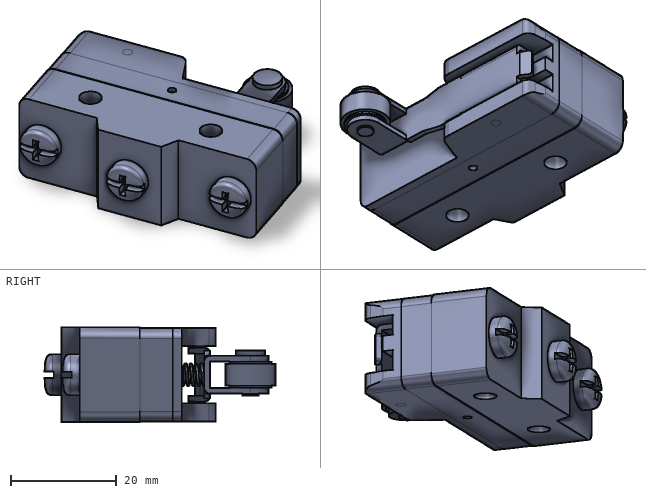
import cadquery as cq
import math


length = 50.0
cover_length = 49.9
base_thickness = 18.0
cover_thickness = 17.75
corner_radius = 2.0
base_top = 11.4
body_top = 17.65
deck_top = 19.4
cheek_top = 25.85

mount_hole_radius = 2.15
mount_hole_x = 12.7
mount_hole_y = 5.6
small_hole_radius = 0.8
small_hole_y = 14.85

slot_half_width = 5.4
slope_start_y = 21.5
slope_end_y = 24.15
slope_inset = 0.3
cheek_arc_width = 1.7
cheek_slant_top_x = -2.3
cheek_slant_radius = 2.0
stop_half_width = 1.5
stop_length = 5.0

block_height = 3.45
block_root_half_width = 8.6
block_tip_half_width = 6.65

screw_x = 20.0
screw_radius = 3.9
screw_rim_height = 1.75
screw_height = 3.2
screw_shoulder_radius = 2.7
screw_shoulder_height = 3.0
screw_slot_width = 1.2
screw_slot_floor = 1.45
screw_cross_floor = 1.0
screw_cross_length = 4.4

plate = 1.1
lever_top = 24.75
lever_bottom = lever_top - plate
lever_half_width = 5.1
strip_half_width = 4.5
lever_start_x = -20.5
flange_end_x = -6.0
taper_start_x = -0.45
taper_end_x = 3.75
flange_height = 4.1
tab_half_width = 2.7
tab_root_x = -21.3
tab_length = 2.4
tab_angle = 30.0
tab_corner_radius = 0.5
pin_x = -13.3
pin_y = 22.8
pin_radius = 0.95

roller_x = 11.55
roller_y = 32.4
roller_radius = 4.75
roller_half_width = 2.05
washer_radius = 4.0
fork_half_width = 3.6
fork_radius = 3.45
rivet_head_radius = 2.8
rivet_head_end = 4.6
rivet_tail_radius = 1.55
rivet_tail_end = -3.95

spring_outer_radius = 2.15
wire_radius = 0.25
spring_pitch = 1.0
spring_seat_depth = 0.3


def rounded_block(block_length, thickness, y_start, y_end):
    """Block along Y with its four long edges rounded."""
    height = y_end - y_start
    block = cq.Workplane("XY").box(block_length, height, thickness)
    block = block.edges("|Y").fillet(corner_radius)
    return block.translate((0, y_start + height / 2, 0))


def cylinder(x, y, radius, z_start, z_end):
    """Cylinder along Z."""
    return cq.Workplane("XY", origin=(x, y, z_start)).circle(radius).extrude(z_end - z_start)


def terminal_block():
    return (
        cq.Workplane("XY")
        .moveTo(-block_root_half_width, 0)
        .lineTo(-block_tip_half_width, -block_height)
        .lineTo(block_tip_half_width, -block_height)
        .lineTo(block_root_half_width, 0)
        .close()
        .extrude(base_thickness / 2, both=True)
    )


def cover():
    """Deck with the two lever cheeks, trimmed to the side outline."""
    right = cover_length / 2
    left = -right
    top_left = left + slope_inset
    arc_end_x = top_left + cheek_arc_width
    outline = (
        cq.Workplane("XY")
        .moveTo(left, body_top)
        .lineTo(left, slope_start_y)
        .lineTo(top_left, slope_end_y)
        .tangentArcPoint((arc_end_x, cheek_top), relative=False)
        .lineTo(cheek_slant_top_x, cheek_top)
        .lineTo(0, deck_top)
        .lineTo(right, deck_top)
        .lineTo(right, body_top)
        .close()
        .extrude(cover_thickness / 2, both=True)
    )
    slant_corner = cq.selectors.NearestToPointSelector((cheek_slant_top_x, cheek_top, 0))
    outline = outline.edges(slant_corner).fillet(cheek_slant_radius)
    shell = rounded_block(cover_length, cover_thickness, body_top, cheek_top).intersect(outline)

    slot = cq.Workplane("XY").box(length, cheek_top - deck_top, 2 * slot_half_width)
    shell = shell.cut(slot.translate((0, (cheek_top + deck_top) / 2, 0)))

    stop = cq.Workplane("XY").box(
        stop_length, slope_start_y - body_top, 2 * stop_half_width
    )
    stop = stop.translate((left + stop_length / 2, (slope_start_y + body_top) / 2, 0))
    return shell.union(stop)


def screw_head(x, seat_y):
    """Domed head pointing to -Y with a full slot and a short cross slot."""
    head = (
        cq.Workplane("XY")
        .lineTo(screw_radius, 0)
        .lineTo(screw_radius, -screw_rim_height)
        .spline(
            [(screw_shoulder_radius, -screw_shoulder_height), (0, -screw_height)],
            tangents=[(0, -1), (-1, 0)],
            includeCurrent=True,
        )
        .close()
        .revolve(360, (0, 0), (0, 1))
    )
    slot = (
        cq.Workplane("XZ", origin=(0, -screw_slot_floor, 0))
        .rect(2 * screw_radius, screw_slot_width)
        .extrude(screw_height)
    )
    cross = (
        cq.Workplane("XZ", origin=(0, -screw_cross_floor, 0))
        .rect(screw_slot_width, screw_cross_length)
        .extrude(screw_height)
    )
    head = head.cut(slot).cut(cross)
    return head.translate((x, seat_y, 0))


def channel(x_start, x_end, half_width, outer_y, inner_y, leg_end_y):
    """U section along X whose web lies between outer_y and inner_y, with rounded bends."""
    inner = half_width - plate
    section = (
        cq.Workplane("YZ", origin=(x_start, 0, 0))
        .moveTo(outer_y, -half_width)
        .lineTo(leg_end_y, -half_width)
        .lineTo(leg_end_y, -inner)
        .lineTo(inner_y, -inner)
        .lineTo(inner_y, inner)
        .lineTo(leg_end_y, inner)
        .lineTo(leg_end_y, half_width)
        .lineTo(outer_y, half_width)
        .close()
        .extrude(x_end - x_start)
    )
    bend_side = "<Y" if outer_y < leg_end_y else ">Y"
    return section.faces(bend_side).edges("|X").fillet(plate)


def lever():
    fork_start_x = roller_x - fork_radius
    fork_end_x = roller_x + fork_radius

    flanged = channel(
        lever_start_x, flange_end_x, lever_half_width, lever_top, lever_bottom, lever_top - flange_height
    )
    strip = (
        cq.Workplane("XZ", origin=(0, lever_bottom, 0))
        .moveTo(flange_end_x, -strip_half_width)
        .lineTo(taper_start_x, -strip_half_width)
        .lineTo(taper_end_x, -fork_half_width)
        .lineTo(fork_start_x, -fork_half_width)
        .lineTo(fork_start_x, fork_half_width)
        .lineTo(taper_end_x, fork_half_width)
        .lineTo(taper_start_x, strip_half_width)
        .lineTo(flange_end_x, strip_half_width)
        .close()
        .extrude(-plate)
    )

    fork = channel(
        fork_start_x, fork_end_x, fork_half_width, lever_bottom, lever_top, roller_y + fork_radius
    )
    fork_outline = cylinder(roller_x, roller_y, fork_radius, -fork_half_width, fork_half_width)
    fork_shank = cq.Workplane("XY").box(
        2 * fork_radius, roller_y - lever_bottom, 2 * fork_half_width
    )
    fork_outline = fork_outline.union(
        fork_shank.translate((roller_x, (roller_y + lever_bottom) / 2, 0))
    )
    fork = fork.intersect(fork_outline)

    return flanged.union(strip).union(fork).union(lever_tab())


def lever_tab():
    """Narrow end of the lever, bent down towards the stop."""
    tilt = math.radians(tab_angle)
    along = (-math.cos(tilt), -math.sin(tilt))
    inward = (math.sin(tilt), -math.cos(tilt))
    tip_x = tab_root_x + tab_length * along[0]
    tip_y = lever_top + tab_length * along[1]
    tab = (
        cq.Workplane("XY")
        .moveTo(lever_start_x, lever_top)
        .lineTo(tab_root_x, lever_top)
        .lineTo(tip_x, tip_y)
        .lineTo(tip_x + plate * inward[0], tip_y + plate * inward[1])
        .lineTo(tab_root_x + plate * math.tan(tilt / 2), lever_bottom)
        .lineTo(lever_start_x, lever_bottom)
        .close()
        .extrude(tab_half_width, both=True)
    )
    for tip_z in (-tab_half_width, tab_half_width):
        tip_corner = cq.selectors.NearestToPointSelector(
            (tip_x + plate / 2 * inward[0], tip_y + plate / 2 * inward[1], tip_z)
        )
        tab = tab.edges(tip_corner).fillet(tab_corner_radius)
    return tab


def roller():
    """Roller, its washers and the rivet that holds them in the fork."""
    fork_inner = fork_half_width - plate
    wheel = cylinder(roller_x, roller_y, roller_radius, -roller_half_width, roller_half_width)
    washers = cylinder(roller_x, roller_y, washer_radius, -fork_inner, fork_inner)
    head = cylinder(roller_x, roller_y, rivet_head_radius, fork_inner, rivet_head_end)
    tail = cylinder(roller_x, roller_y, rivet_tail_radius, rivet_tail_end, -fork_inner)
    return wheel.union(washers).union(head).union(tail)


def spring():
    """Coil seated in the deck and pressed against the underside of the lever."""
    seat_y = deck_top - spring_seat_depth
    coil_radius = spring_outer_radius - wire_radius
    helix = cq.Wire.makeHelix(
        spring_pitch, lever_bottom - seat_y, coil_radius,
        cq.Vector(0, seat_y, 0), cq.Vector(0, 1, 0),
    )
    start = helix.startPoint()
    profile = cq.Workplane(cq.Plane(start, normal=helix.tangentAt(0))).circle(wire_radius)
    return profile.sweep(cq.Workplane(helix), isFrenet=True)


base = rounded_block(length, base_thickness, 0, base_top).union(terminal_block())
for hole_x in (-mount_hole_x, mount_hole_x):
    base = base.cut(cylinder(hole_x, mount_hole_y, mount_hole_radius, -base_thickness, base_thickness))

body = rounded_block(length, cover_thickness, base_top, body_top)
body = body.cut(cylinder(0, small_hole_y, small_hole_radius, -base_thickness, base_thickness))

pin = cylinder(pin_x, pin_y, pin_radius, -cover_thickness / 2, cover_thickness / 2)

screws = [
    screw_head(-screw_x, 0),
    screw_head(0, -block_height),
    screw_head(screw_x, 0),
]

result = base
for piece in [body, cover(), pin, lever(), roller(), spring(), *screws]:
    result = result.union(piece, clean=False)